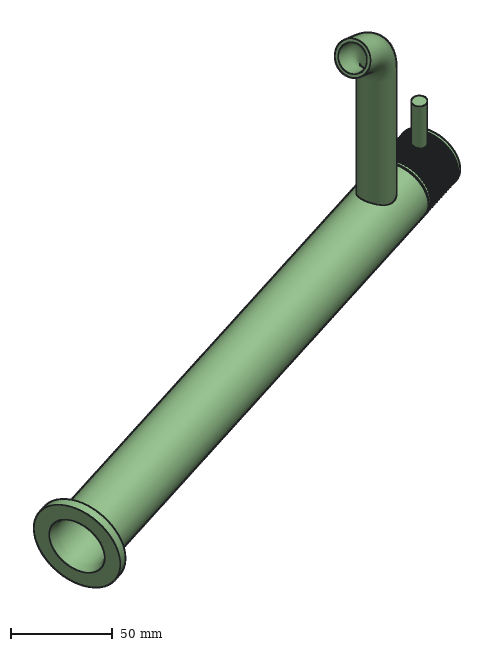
import cadquery as cq
import math

tube_radius = 17.5
tube_length = 301.0
bore_radius = 14.5
flange_radius = 25.0
flange_thickness = 5.0
mouth_radius = 16.0

spout_radius = 10.0
spout_wall = 2.0
spout_y = 280.8
spout_bend_start = 98.9
spout_bend_radius = 21.0
spout_bend_angle = 64.0
spout_outlet_length = 11.75

knob_end = 331.01
knob_gap = 0.6
core_radius = 15.5
outer_rim_width = 2.0
inner_rim_width = 2.0
relief_angle = 17.0
relief_start_z = -5.0

knurl_teeth = 52
knurl_rows = 24
knurl_depth = 0.5

lever_radius = 4.0
lever_inset = 10.0
lever_socket_z = 12.0
lever_top = 45.0

knob_start = tube_length + knob_gap
knurl_start = knob_start + inner_rim_width
knurl_length = knob_end - outer_rim_width - knurl_start
lever_y = knob_end - lever_inset


def cylinder_along_y(radius, start, length):
    """Solid cylinder on the tube axis, running towards +Y."""
    return cq.Workplane("XZ", origin=(0, start, 0)).circle(radius).extrude(-length)


def make_tap_body():
    """Flanged tube, bored right through, with a tapered mouth in the flange."""
    profile = [
        (mouth_radius, 0),
        (flange_radius, 0),
        (flange_radius, flange_thickness),
        (tube_radius, flange_thickness),
        (tube_radius, tube_length),
        (bore_radius, tube_length),
        (bore_radius, flange_thickness),
    ]
    return cq.Workplane("ZY").polyline(profile).close().revolve(360, (0, 0, 0), (0, 1, 0))


def spout_rod(radius):
    """Solid rod along the spout centreline: a rise, a bend and a straight outlet."""
    angle = math.radians(spout_bend_angle)
    half_angle = angle / 2

    def bend_point(turn):
        y = spout_y - spout_bend_radius * (1 - math.cos(turn))
        z = spout_bend_start + spout_bend_radius * math.sin(turn)
        return (y, z)

    bend_end = bend_point(angle)
    outlet_end = (
        bend_end[0] - spout_outlet_length * math.sin(angle),
        bend_end[1] + spout_outlet_length * math.cos(angle),
    )
    path = (
        cq.Workplane("YZ")
        .moveTo(spout_y, 0)
        .lineTo(spout_y, spout_bend_start)
        .threePointArc(bend_point(half_angle), bend_end)
        .lineTo(*outlet_end)
    )
    section = cq.Plane(origin=(0, spout_y, 0), xDir=(0, -1, 0), normal=(0, 0, 1))
    return cq.Workplane(section).circle(radius).sweep(path)


def make_spout():
    """Bent pipe whose foot is shaped to sit on the outside of the tube."""
    pipe = spout_rod(spout_radius).cut(spout_rod(spout_radius - spout_wall))
    return pipe.cut(cylinder_along_y(tube_radius, 0, tube_length))


def knurl_point(column, row):
    """Grid point on the knurl; peaks and valleys alternate like a chessboard."""
    is_valley = (column + row) % 2
    radius = tube_radius - knurl_depth * is_valley
    angle = math.pi * column / knurl_teeth
    y = knurl_start + knurl_length * row / knurl_rows
    return cq.Vector(radius * math.cos(angle), y, radius * math.sin(angle))


def flat_face(points):
    return cq.Face.makeFromWires(cq.Wire.makePolygon(points, close=True))


def make_knurl():
    """Ring of four-sided pyramids; each grid cell folds along its valley diagonal."""
    columns = range(2 * knurl_teeth)
    faces = [flat_face([knurl_point(column, row) for column in columns]) for row in (0, knurl_rows)]
    for row in range(knurl_rows):
        for column in columns:
            near = knurl_point(column, row)
            side = knurl_point(column + 1, row)
            above = knurl_point(column, row + 1)
            far = knurl_point(column + 1, row + 1)
            if (column + row) % 2:
                faces.append(flat_face([near, far, side]))
                faces.append(flat_face([near, above, far]))
            else:
                faces.append(flat_face([near, side, above]))
                faces.append(flat_face([far, above, side]))
    return cq.Workplane(cq.Solid.makeSolid(cq.Shell.makeShell(faces)))


def relief_block():
    """Slanted block that clears the underside of the sleeve next to the tube."""
    reach = 2 * tube_radius
    drop = reach * math.cos(math.radians(relief_angle))
    shift = reach * math.sin(math.radians(relief_angle))
    outline = [
        (knob_start, relief_start_z),
        (knob_start + shift, relief_start_z - drop),
        (knob_start, relief_start_z - drop),
    ]
    return cq.Workplane("YZ").polyline(outline).close().extrude(reach, both=True)


def make_lever():
    """Plain pin standing in a blind socket in the knob."""
    height = lever_top - lever_socket_z
    base = cq.Workplane("XY", origin=(0, lever_y, lever_socket_z))
    return base.circle(lever_radius).extrude(height)


def make_knob():
    """Knurled sleeve with plain rims, relieved below, around a core that meets the tube."""
    outer_rim = cylinder_along_y(tube_radius, knob_end - outer_rim_width, outer_rim_width)
    inner_rim = cylinder_along_y(tube_radius, knob_start, inner_rim_width)
    core = cylinder_along_y(core_radius, tube_length, knob_end - tube_length)
    sleeve = make_knurl().union(outer_rim).union(inner_rim).cut(relief_block())
    return sleeve.union(core).cut(make_lever())


tap_body = make_tap_body()
spout = make_spout()
knob = make_knob()
lever = make_lever()

result = cq.Compound.makeCompound([tap_body.val(), spout.val(), knob.val(), lever.val()])